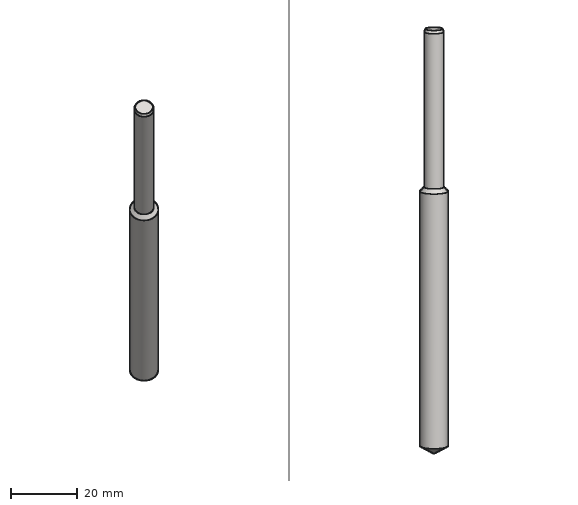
import cadquery as cq

total_length = 131.0

body_radius = 4.3
tip_height = 2.5

shank_radius = 3.0
shank_length = 50.0
bevel_width = 0.4
bevel_height = 0.9

flare_height = body_radius - shank_radius
joint_z = total_length - shank_length


def revolve_profile(points):
    """Turn an outline of (radius, height) points about the Z axis."""
    return cq.Workplane("XZ").polyline(points).close().revolve(360, (0, 0, 0), (0, 1, 0))


def make_body():
    """Cylinder with a conical point below and a flat top."""
    return revolve_profile([
        (0, 0),
        (body_radius, tip_height),
        (body_radius, joint_z),
        (0, joint_z),
    ])


def make_shank():
    """Rod standing on the body, with a conical flare below and a bevel on top."""
    return revolve_profile([
        (0, joint_z),
        (body_radius, joint_z),
        (shank_radius, joint_z + flare_height),
        (shank_radius, total_length - bevel_height),
        (shank_radius - bevel_width, total_length),
        (0, total_length),
    ])


body = make_body()
shank = make_shank()

result = cq.Compound.makeCompound([body.val(), shank.val()])